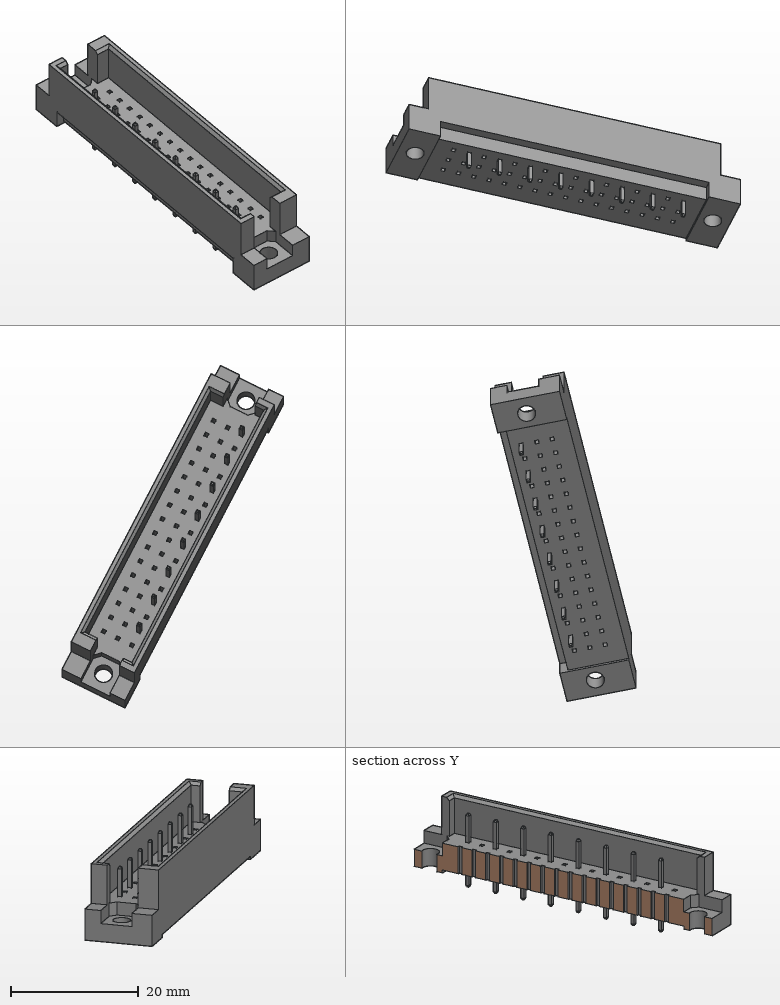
import cadquery as cq

LENGTH = 55.0
WIDTH = 11.1
HEIGHT = 11.6
EAR_TOP = 5.1
WALL_LENGTH = 48.5

FOOT_GAP = 44.55
STANDOFF = 0.5
FRONT_RECESS_TOP = 3.0
FRONT_RECESS_DEPTH = 1.3

CHANNEL_BACK = 2.2
CHANNEL_FRONT = -2.9
CHANNEL_MIDDLE = (CHANNEL_BACK + CHANNEL_FRONT) / 2

BACK_POCKET_LENGTH = 43.55
FRONT_POCKET_LENGTH = 45.65
POCKET_REACH = 4.4
LEAD_IN = 0.5

SEAT_FLOOR = 2.95
SEAT_INNER_X = 22.3
SEAT_CORNER = 1.0
MOUNT_HOLE_DIAMETER = 2.8
MOUNT_HOLE_SPACING = 49.4

COLUMNS = 16
ROWS = 3
COLUMN_SPAN = 38.1
COLUMN_PITCH = COLUMN_SPAN / (COLUMNS - 1)
ROW_PITCH = 2.5
PIN_SIDE = 0.6

PIN_TOP = 9.95
PIN_BOTTOM = -2.5
PIN_TIP_SIDE = 0.3
PIN_TIP_LENGTH = 0.35
PIN_ROW_Y = -ROW_PITCH
PIN_COLUMN_STEP = 2


def box(length, y_front, y_back, z_bottom, z_top):
    """Block centred on x = 0 between the given y and z limits."""
    return (
        cq.Workplane("XY", origin=(0, (y_front + y_back) / 2, z_bottom))
        .rect(length, y_back - y_front)
        .extrude(z_top - z_bottom)
    )


def column_x(column):
    """X position of a grid column, counted from zero at the -X end."""
    return column * COLUMN_PITCH - COLUMN_SPAN / 2


def housing_blank():
    """Full-length base with the taller shroud block on top."""
    base = box(LENGTH, -WIDTH / 2, WIDTH / 2, 0, EAR_TOP)
    shroud = box(WALL_LENGTH, -WIDTH / 2, WIDTH / 2, EAR_TOP, HEIGHT)
    return base.union(shroud)


def underside_recess():
    """Standoff gap between the ear feet, with a taller step along the front."""
    gap = box(FOOT_GAP, -WIDTH / 2, WIDTH / 2, 0, STANDOFF)
    front_face = -WIDTH / 2
    step = box(FOOT_GAP, front_face, front_face + FRONT_RECESS_DEPTH, 0, FRONT_RECESS_TOP)
    return gap.union(step)


def shroud_pocket(length, side):
    """Pocket from the channel out to one long wall (side is +1 back, -1 front), with lead-in."""
    y_limits = sorted((CHANNEL_MIDDLE, side * POCKET_REACH))
    pocket = box(length, *y_limits, EAR_TOP, HEIGHT)
    mouth_y = side * (POCKET_REACH + LEAD_IN)
    mouth = (
        cq.Workplane("XY", origin=(0, (CHANNEL_MIDDLE + mouth_y) / 2, HEIGHT))
        .rect(length + 2 * LEAD_IN, abs(mouth_y - CHANNEL_MIDDLE))
        .extrude(-LEAD_IN, taper=45)
    )
    return pocket.union(mouth)


def mounting_seat(side):
    """Recess in one ear with its two inner corners bevelled, and the screw hole through it."""
    end_x = side * LENGTH / 2
    inner_x = side * SEAT_INNER_X
    bevel_x = inner_x + side * SEAT_CORNER
    seat = (
        cq.Workplane("XY", origin=(0, 0, SEAT_FLOOR))
        .polyline([
            (end_x, CHANNEL_FRONT),
            (bevel_x, CHANNEL_FRONT),
            (inner_x, CHANNEL_FRONT + SEAT_CORNER),
            (inner_x, CHANNEL_BACK - SEAT_CORNER),
            (bevel_x, CHANNEL_BACK),
            (end_x, CHANNEL_BACK),
        ])
        .close()
        .extrude(EAR_TOP - SEAT_FLOOR)
    )
    hole = (
        cq.Workplane("XY", origin=(side * MOUNT_HOLE_SPACING / 2, CHANNEL_MIDDLE, 0))
        .circle(MOUNT_HOLE_DIAMETER / 2)
        .extrude(SEAT_FLOOR)
    )
    return seat.union(hole)


def contact_holes():
    """Square through holes at every position of the contact grid."""
    return (
        cq.Workplane("XY")
        .rarray(COLUMN_PITCH, ROW_PITCH, COLUMNS, ROWS)
        .rect(PIN_SIDE, PIN_SIDE)
        .extrude(EAR_TOP)
    )


def make_housing():
    body = housing_blank()
    body = body.cut(underside_recess())
    body = body.cut(box(LENGTH, CHANNEL_FRONT, CHANNEL_BACK, EAR_TOP, HEIGHT))
    body = body.cut(shroud_pocket(BACK_POCKET_LENGTH, 1))
    body = body.cut(shroud_pocket(FRONT_POCKET_LENGTH, -1))
    for side in (-1, 1):
        body = body.cut(mounting_seat(side))
    return body.cut(contact_holes())


def pin_tip(x, z_base, z_end):
    """Truncated pyramid from the full pin section to the blunt tip."""
    return (
        cq.Workplane("XY", origin=(x, PIN_ROW_Y, z_base))
        .rect(PIN_SIDE, PIN_SIDE)
        .workplane(offset=z_end - z_base)
        .rect(PIN_TIP_SIDE, PIN_TIP_SIDE)
        .loft()
    )


def make_pin(x):
    shank_bottom = PIN_BOTTOM + PIN_TIP_LENGTH
    shank_top = PIN_TOP - PIN_TIP_LENGTH
    shank = (
        cq.Workplane("XY", origin=(x, PIN_ROW_Y, shank_bottom))
        .rect(PIN_SIDE, PIN_SIDE)
        .extrude(shank_top - shank_bottom)
    )
    upper_tip = pin_tip(x, shank_top, PIN_TOP)
    lower_tip = pin_tip(x, shank_bottom, PIN_BOTTOM)
    return shank.union(upper_tip).union(lower_tip)


housing = make_housing()
pins = [make_pin(column_x(column)) for column in range(1, COLUMNS, PIN_COLUMN_STEP)]

result = cq.Compound.makeCompound([housing.val(), *[pin.val() for pin in pins]])